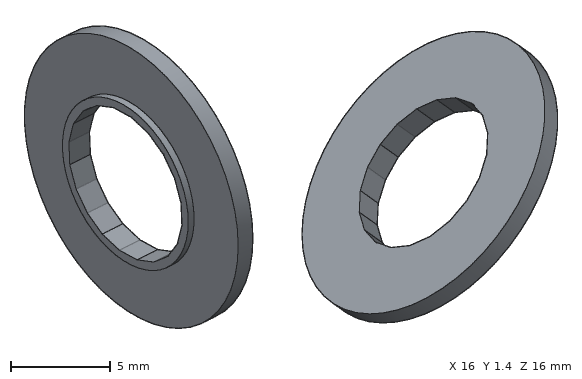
import cadquery as cq

flange_diameter = 16
collar_diameter = 9.4
total_depth = 1.4
collar_height = 0.4
flange_thickness = total_depth - collar_height

bore_diameter = 8.5
bore_sides = 20
bore_corner_angle = 12


def disc(diameter, depth):
    """Round disc reaching from the XZ plane toward -Y."""
    return cq.Workplane("XZ").circle(diameter / 2).extrude(depth)


body = disc(flange_diameter, flange_thickness).union(disc(collar_diameter, total_depth))

bore = (
    cq.Workplane("XZ")
    .polygon(bore_sides, bore_diameter)
    .extrude(total_depth)
    .rotate((0, 0, 0), (0, -1, 0), bore_corner_angle)
)

result = body.cut(bore)